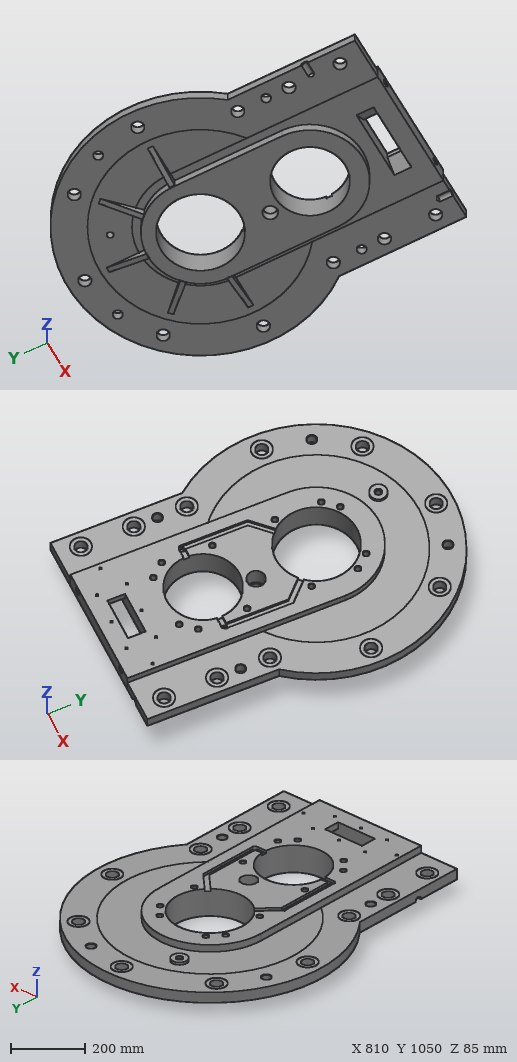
import cadquery as cq
import math

plate_thickness = 33.0
base_overhang = 30.0
centre_rise = 22.0
centre_top = plate_thickness + centre_rise
boss_bottom = -base_overhang

base_radius = 405.0
overall_length = 1050.0
wing_half_width = 315.0
front_edge = base_radius - overall_length
disc_radius = 305.0

centre_radius = 185.0
boss_radius = 161.0
bore_spacing = 336.0
front_bore_y = -bore_spacing
rear_bore_diameter = 240.0
front_bore_diameter = 215.0

bolt_circle_radius = 355.0
bolt_angles = (0, 45, 90, 135, 180)
bolt_diameter = 36.0
spotface_diameter = 60.0
spotface_depth = 1.0
wing_bolt_x = 270.0
wing_bolt_pitch = 157.0
wing_bolt_count = 3
first_wing_bolt_y = front_edge + 70.0
jack_diameter = 26.59
jack_rim_diameter = 30.0
jack_wing_y = front_edge + 297.0
jack_angles = (67.5, 157.5)

pipe_diameter = 18.26
pipe_rim_diameter = 22.0
edge_hole_depth = 40.0
edge_hole_x = 230.0
edge_hole_y = -490.0

pad_diameter = 50.0
pad_height = 8.0
pad_circle_radius = 245.0
pad_angle = 112.5
pad_rim_diameter = 21.0

rib_thickness = 16.0
rib_outer_radius = 284.0
rib_height = 25.0
rib_angles = (0, 45, 90, 135, 180)

tap_diameter = 15.5
tap_rim_diameter = 19.0
tap_depth = 40.0
tap_circle_radius = 137.5
rear_tap_angles = (30, 52.5, -30)
front_tap_angles = (35, -30, -52.5)

port_x = 35.0
port_y = -195.0
port_diameter = 42.0
port_upper_diameter = 52.0

channel_x = 140.0
channel_width = 16.0
channel_depth = 8.0
drain_diameter = 16.0
drain_z = 35.0

window_y = -563.0
window_length = 134.0
window_width = 52.0
window_flare = 40.0
window_flare_top = 35.0
pocket_inner_x = 83.5
pocket_outer_x = 152.0
pocket_outer_depth = 28.5
pocket_slope = 8.0
pocket_fillet = 6.0
screw_diameter = 6.8
screw_depth = 20.0
screw_pitch_x = 95.0
screw_offset_y = 44.0
end_screw_x = 170.0

point_half_angle = math.radians(59)


def polar(radius, angle):
    a = math.radians(angle)
    return radius * math.cos(a), radius * math.sin(a)


def cylinder(diameter, x, y, bottom, top):
    """Upright cylinder between two levels."""
    return cq.Workplane("XY", origin=(x, y, bottom)).circle(diameter / 2).extrude(top - bottom)


def stadium(radius, bottom, top, front_y, round_front):
    """Upright prism, round at the rear about the origin and round or square at the front."""
    outline = (
        cq.Workplane("XY", origin=(0, 0, bottom))
        .moveTo(-radius, front_y)
        .lineTo(-radius, 0)
        .threePointArc((0, radius), (radius, 0))
        .lineTo(radius, front_y)
    )
    if round_front:
        outline = outline.threePointArc((0, front_y - radius), (-radius, front_y))
    return outline.close().extrude(top - bottom)


def drill(diameter, rim_diameter, depth, start, direction):
    """Blind hole with a 45 degree countersunk rim and a conical drill point."""
    radius = diameter / 2
    rim_radius = rim_diameter / 2
    tip = depth + radius / math.tan(point_half_angle)
    axis = cq.Vector(*direction)
    side = cq.Vector(0, 1, 0) if direction[0] else cq.Vector(1, 0, 0)
    profile = [(0, 0), (rim_radius, 0)]
    if rim_radius > radius:
        profile.append((radius, rim_radius - radius))
    profile += [(radius, depth), (0, tip)]
    plane = cq.Plane(origin=start, xDir=side, normal=side.cross(axis))
    return cq.Workplane(plane).polyline(profile).close().revolve(360, (0, 0), (0, 1))


def through_hole(diameter, rim_diameter, x, y, bottom, top):
    """Through hole countersunk at 45 degrees from the top."""
    rim_depth = (rim_diameter - diameter) / 2
    rim = cq.Solid.makeCone(
        diameter / 2, rim_diameter / 2, rim_depth, cq.Vector(x, y, top - rim_depth))
    return cylinder(diameter, x, y, bottom, top).union(cq.Workplane(obj=rim))


def mirrored(cutter):
    """The +X cutter together with its mirror image."""
    return cutter.union(cutter.mirror("YZ"))


def make_base_plate():
    plate = cylinder(2 * base_radius, 0, 0, 0, plate_thickness)
    wings = (
        cq.Workplane("XY", origin=(0, front_edge / 2, 0))
        .rect(2 * wing_half_width, -front_edge)
        .extrude(plate_thickness)
    )
    plate = plate.union(wings)
    plate = plate.cut(cylinder(2 * disc_radius, 0, 0, 0, plate_thickness))
    plate = plate.cut(stadium(centre_radius, 0, plate_thickness, front_edge, False))

    bolts = [polar(bolt_circle_radius, angle) for angle in bolt_angles]
    jacks = [polar(bolt_circle_radius, angle) for angle in jack_angles]
    for side in (-1, 1):
        for i in range(wing_bolt_count):
            bolts.append((side * wing_bolt_x, first_wing_bolt_y + i * wing_bolt_pitch))
        jacks.append((side * wing_bolt_x, jack_wing_y))
    for x, y in bolts:
        plate = plate.cut(cylinder(bolt_diameter, x, y, 0, plate_thickness))
        plate = plate.cut(
            cylinder(spotface_diameter, x, y, plate_thickness - spotface_depth, plate_thickness))
    for x, y in jacks:
        plate = plate.cut(through_hole(jack_diameter, jack_rim_diameter, x, y, 0, plate_thickness))

    for start, direction in (
        ((edge_hole_x, front_edge, 0), (0, 1, 0)),
        ((-wing_half_width, edge_hole_y, 0), (1, 0, 0)),
    ):
        plate = plate.cut(drill(pipe_diameter, pipe_rim_diameter, edge_hole_depth, start, direction))
    return plate


pad_x, pad_y = polar(pad_circle_radius, pad_angle)
pad_top = plate_thickness + pad_height


def make_disc():
    disc = cylinder(2 * disc_radius, 0, 0, 0, plate_thickness)
    disc = disc.cut(stadium(centre_radius, 0, plate_thickness, front_edge, False))
    return disc.cut(cylinder(pipe_diameter, pad_x, pad_y, 0, plate_thickness))


def make_pad():
    pad = cylinder(pad_diameter, pad_x, pad_y, plate_thickness, pad_top)
    return pad.cut(
        through_hole(pipe_diameter, pad_rim_diameter, pad_x, pad_y, plate_thickness, pad_top))


def make_rib(angle):
    slope = rib_height / (rib_outer_radius - boss_radius)
    axis_depth = slope * rib_outer_radius
    rib = (
        cq.Workplane("XZ", origin=(0, rib_thickness / 2, 0))
        .polyline([(0, 0), (rib_outer_radius, 0), (0, -axis_depth)])
        .close()
        .extrude(rib_thickness)
        .rotate((0, 0, 0), (0, 0, 1), angle)
    )
    return rib.cut(stadium(boss_radius, -axis_depth, 0, front_bore_y, True))


def make_channel():
    half = channel_width / 2
    mitre = half * math.tan(math.radians(22.5))
    diagonal = half * math.sqrt(0.5)
    floor = cq.Workplane("XY", origin=(0, 0, centre_top - channel_depth))
    long_run = (
        floor.polyline([
            (diagonal, diagonal),
            (channel_x + half, mitre - channel_x),
            (channel_x + half, front_bore_y),
            (channel_x - half, front_bore_y),
            (channel_x - half, -mitre - channel_x),
            (-diagonal, -diagonal),
        ])
        .close()
        .extrude(channel_depth)
    )
    cross_run = (
        floor.center(channel_x / 2, front_bore_y).rect(channel_x, channel_width).extrude(channel_depth))
    return long_run.union(cross_run)


def make_pocket():
    deep = centre_top - pocket_outer_depth
    rise = (pocket_outer_x - pocket_inner_x) * math.tan(math.radians(pocket_slope))
    return (
        cq.Workplane("XZ", origin=(0, window_y + window_width / 2, 0))
        .polyline([
            (pocket_inner_x, centre_top),
            (pocket_outer_x, centre_top),
            (pocket_outer_x, deep),
            (pocket_inner_x, deep + rise),
        ])
        .close()
        .extrude(window_width)
        .faces("<X")
        .edges("<Z")
        .fillet(pocket_fillet)
    )


def make_window():
    half = window_length / 2
    flared_half = half + window_flare
    return (
        cq.Workplane("XZ", origin=(0, window_y + window_width / 2, 0))
        .polyline([
            (-half, centre_top),
            (half, centre_top),
            (half, window_flare_top),
            (flared_half, 0),
            (-flared_half, 0),
            (-half, window_flare_top),
        ])
        .close()
        .extrude(window_width)
    )


def make_centre_plate():
    body = stadium(centre_radius, 0, centre_top, front_edge, False)
    body = body.union(stadium(boss_radius, boss_bottom, 0, front_bore_y, True))
    body = body.cut(cylinder(rear_bore_diameter, 0, 0, boss_bottom, centre_top))
    body = body.cut(cylinder(front_bore_diameter, 0, front_bore_y, boss_bottom, centre_top))
    body = body.cut(cylinder(port_diameter, port_x, port_y, boss_bottom, centre_top))
    body = body.cut(cylinder(port_upper_diameter, port_x, port_y, 0, centre_top))

    body = body.cut(mirrored(make_channel()))
    body = body.cut(mirrored(cylinder(drain_diameter, channel_x, front_bore_y, drain_z, centre_top)))
    drain_length = front_bore_y - front_edge + drain_diameter / 2
    drain_start = (channel_x, front_edge, drain_z)
    body = body.cut(mirrored(drill(
        drain_diameter, pipe_rim_diameter, drain_length, drain_start, (0, 1, 0))))

    body = body.cut(make_window())
    body = body.cut(mirrored(make_pocket()))

    for bore_y, angles in ((0, rear_tap_angles), (front_bore_y, front_tap_angles)):
        for angle in angles:
            x, y = polar(tap_circle_radius, angle)
            start = (x, bore_y + y, centre_top)
            body = body.cut(mirrored(drill(
                tap_diameter, tap_rim_diameter, tap_depth, start, (0, 0, -1))))

    screws = [(-end_screw_x, window_y), (end_screw_x, window_y)]
    for column in (-1, 0, 1):
        for side in (-1, 1):
            screws.append((column * screw_pitch_x, window_y + side * screw_offset_y))
    for x, y in screws:
        start = (x, y, centre_top)
        body = body.cut(drill(screw_diameter, screw_diameter, screw_depth, start, (0, 0, -1)))
    return body


base_plate = make_base_plate()
disc = make_disc()
pad = make_pad()
centre_plate = make_centre_plate()
ribs = [make_rib(angle) for angle in rib_angles]

result = cq.Compound.makeCompound(
    [base_plate.val(), disc.val(), pad.val(), centre_plate.val(), *[rib.val() for rib in ribs]])